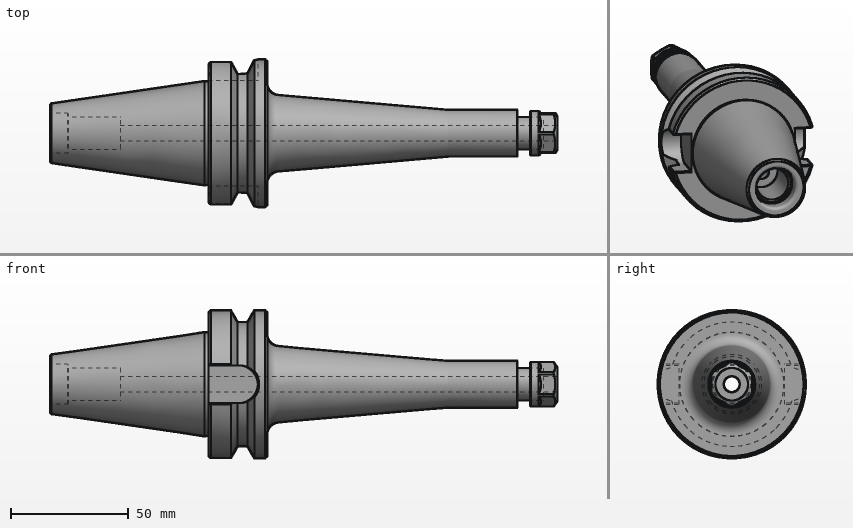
import cadquery as cq
import math

overall_length = 215.8
gauge_x = 65.8
flange_front_x = gauge_x + 1.6
flange_back_x = flange_front_x + 25.0
nose_cylinder_x = 169.2
nose_end_x = gauge_x + 133.0
nut_back_x = 204.1
nut_collar_end_x = 207.7
nose_tip_x = nut_collar_end_x + 2.0

gauge_radius = 44.45 / 2
taper_ratio = 7 / 24
small_end_radius = gauge_radius - gauge_x * taper_ratio / 2
small_end_chamfer = 0.8
relief_radius = 44.2 / 2
relief_bevel_length = 0.6

flange_diameter = 63.0
flange_radius = flange_diameter / 2
flange_chamfer = 1.0
groove_floor_radius = 53.0 / 2
groove_centre_x = flange_front_x + 14.5
groove_floor_width = 4.2
groove_half_angle = math.radians(30)
groove_wall_length = (flange_radius - groove_floor_radius) * math.tan(groove_half_angle)
groove_start_x = groove_centre_x - groove_floor_width / 2 - groove_wall_length
groove_end_x = groove_centre_x + groove_floor_width / 2 + groove_wall_length

slot_width = 16.1
slot_floor_y = 22.5
slot_edge_chamfer = 0.5
edge_margin = 0.05
slot_end_x = 88.4

nose_radius = 20.0 / 2
nose_chamfer = 0.4
nose_cone_angle = math.radians(5)
root_fillet = 5.0
neck_radius = 14.0 / 2

entry_radius = 20.0 / 2
pilot_radius = 17.0 / 2
thread_radius = 13.84 / 2
coolant_radius = 6.65 / 2
pilot_depth = 8.0
pilot_floor_chamfer = 0.5
thread_depth = 30.0

nut_radius = 19.0 / 2
nut_across_flats = 17.0
nut_face_radius = 13.84 / 2
nut_chamfer_length = 1.7
nut_back_chamfer = 0.4


def revolve_about_x(outline):
    return outline.close().revolve(360, (0, 0, 0), (1, 0, 0))


def cone_radius(x):
    return nose_radius + (nose_cylinder_x - x) * math.tan(nose_cone_angle)


def holder_blank():
    centre_x = flange_back_x + root_fillet
    centre_r = cone_radius(centre_x) + root_fillet / math.cos(nose_cone_angle)
    tangent_x = centre_x - root_fillet * math.sin(nose_cone_angle)
    middle_angle = math.pi + (math.pi / 2 - nose_cone_angle) / 2
    middle = (centre_x + root_fillet * math.cos(middle_angle),
              centre_r + root_fillet * math.sin(middle_angle))

    outline = (
        cq.Workplane("XY")
        .moveTo(0, 0)
        .lineTo(0, small_end_radius - small_end_chamfer)
        .lineTo(small_end_chamfer, small_end_radius + small_end_chamfer * taper_ratio / 2)
        .lineTo(gauge_x, gauge_radius)
        .lineTo(gauge_x + relief_bevel_length, relief_radius)
        .lineTo(flange_front_x, relief_radius)
        .lineTo(flange_front_x, flange_radius - flange_chamfer)
        .lineTo(flange_front_x + flange_chamfer, flange_radius)
        .lineTo(groove_start_x, flange_radius)
        .lineTo(groove_start_x + groove_wall_length, groove_floor_radius)
        .lineTo(groove_end_x - groove_wall_length, groove_floor_radius)
        .lineTo(groove_end_x, flange_radius)
        .lineTo(flange_back_x - flange_chamfer, flange_radius)
        .lineTo(flange_back_x, flange_radius - flange_chamfer)
        .lineTo(flange_back_x, centre_r)
        .threePointArc(middle, (tangent_x, cone_radius(tangent_x)))
        .lineTo(nose_cylinder_x, nose_radius)
        .lineTo(nose_end_x - nose_chamfer, nose_radius)
        .lineTo(nose_end_x, nose_radius - nose_chamfer)
        .lineTo(nose_end_x, neck_radius)
        .lineTo(nose_tip_x, neck_radius)
        .lineTo(nose_tip_x, 0)
    )
    return revolve_about_x(outline)


def holder_bore():
    entry_round = entry_radius - pilot_radius
    entry_middle = entry_round * math.sin(math.radians(45))
    outline = (
        cq.Workplane("XY")
        .moveTo(0, 0)
        .lineTo(0, entry_radius)
        .threePointArc((entry_round - entry_middle, entry_radius - entry_middle), (entry_round, pilot_radius))
        .lineTo(pilot_depth - pilot_floor_chamfer, pilot_radius)
        .lineTo(pilot_depth, pilot_radius - pilot_floor_chamfer)
        .lineTo(pilot_depth, thread_radius)
        .lineTo(thread_depth, thread_radius)
        .lineTo(thread_depth, coolant_radius)
        .lineTo(nose_tip_x, coolant_radius)
        .lineTo(nose_tip_x, 0)
    )
    return revolve_about_x(outline)


def drive_slot(side):
    round_centre_x = slot_end_x - slot_width / 2
    depth = flange_radius - slot_floor_y
    length = round_centre_x - flange_front_x
    plane = cq.Workplane("XZ", origin=(0, side * slot_floor_y, 0))
    straight = plane.center(flange_front_x + length / 2, 0).rect(length, slot_width).extrude(-side * depth)
    rounded = plane.center(round_centre_x, 0).circle(slot_width / 2).extrude(-side * depth)
    return straight.union(rounded)


def slot_mouth_edges(holder):
    """Edges of both drive slots on the flange front face and on the flange rim."""
    half_width = slot_width / 2
    around_slots = cq.selectors.BoxSelector(
        (flange_front_x - edge_margin, -flange_diameter, -half_width - edge_margin),
        (slot_end_x + edge_margin, flange_diameter, half_width + edge_margin),
        boundingbox=True,
    )
    edges = []
    for edge in holder.edges(around_slots).vals():
        centre = edge.Center()
        beside_slot = abs(abs(centre.z) - half_width) < edge_margin
        front_edge = beside_slot and centre.x < groove_start_x and abs(centre.y) > slot_floor_y + edge_margin
        end_edge = centre.x > groove_end_x and abs(centre.y) > groove_floor_radius
        if front_edge or end_edge:
            edges.append(edge)
    return edges


def make_holder():
    holder = holder_blank().cut(holder_bore())
    for side in (-1, 1):
        holder = holder.cut(drive_slot(side))
    return holder.newObject(slot_mouth_edges(holder)).chamfer(slot_edge_chamfer)


def make_nut():
    flat_depth = nut_radius - nut_across_flats / 2
    outline = (
        cq.Workplane("XY")
        .moveTo(nut_back_x, 0)
        .lineTo(nut_back_x, nut_radius - nut_back_chamfer)
        .lineTo(nut_back_x + nut_back_chamfer, nut_radius)
        .lineTo(overall_length - nut_chamfer_length, nut_radius)
        .lineTo(overall_length, nut_face_radius)
        .lineTo(overall_length, 0)
    )
    collar = (
        cq.Workplane("XY")
        .moveTo(nut_back_x, 0)
        .lineTo(nut_back_x, nut_radius)
        .lineTo(nut_collar_end_x, nut_radius)
        .lineTo(nut_collar_end_x + flat_depth, nut_radius - flat_depth)
        .lineTo(nut_collar_end_x + flat_depth, 0)
    )
    hexagon = (
        cq.Workplane("YZ", origin=(nut_back_x, 0, 0))
        .polygon(6, nut_across_flats, circumscribed=True)
        .extrude(overall_length - nut_back_x)
    )
    nut = revolve_about_x(outline).intersect(hexagon.union(revolve_about_x(collar)))
    seat = cq.Workplane("YZ", origin=(nut_back_x, 0, 0)).circle(neck_radius).extrude(nose_tip_x - nut_back_x)
    opening = cq.Workplane("YZ", origin=(nut_back_x, 0, 0)).circle(coolant_radius).extrude(overall_length)
    return nut.cut(seat).cut(opening)


holder = make_holder()
nut = make_nut()

result = cq.Compound.makeCompound([holder.val(), nut.val()])